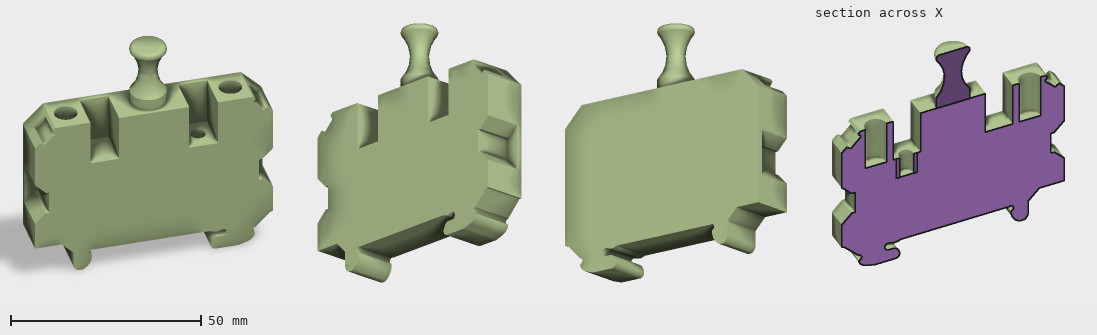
import cadquery as cq
import math

thickness = 12.0
length = 65.0
housing_top = 46.6
half_length = length / 2
half_thickness = thickness / 2
corner_chamfer = 5.5
skirt_z = 9.1
rail_z = 5.9
side_wall = 1.5
pocket_x = -half_thickness + side_wall
pocket_width = thickness - side_wall

screw_hole_diameter = 6.25
screw_hole_y = 22.5
screw_hole_depth = 13.0
pocket_inner_y = 9.55
pocket_outer_y = 17.4
pocket_center_y = (pocket_inner_y + pocket_outer_y) / 2
pocket_depth = 13.0

entry_bottom = 16.9
entry_top = 29.3
entry_flare = 3.0
entry_depth = 3.85

label_width = 7.5
label_length = 4.7
label_depth = 1.4
label_bevel_depth = 0.65
label_bevel_inset = 0.2
label_corner_radius = 0.4
label_shift = 0.5

socket_diameter = 6.05
socket_bore = 4.0
socket_length = 6.5
socket_x = 0.5

knob_top = 64.3
knob_radius = 4.95
knob_base_height = 3.4
waist_radius = 2.55
waist_z = 56.3
neck_radius = 4.6
neck_z = 62.2
cap_radius = 3.65
rim_mid_z = 63.25


def make_body_block():
    """Side outline with its two rail feet, extruded through the thickness."""
    chamfer_y = half_length - corner_chamfer
    chamfer_z = housing_top - corner_chamfer
    outline = (
        cq.Workplane("YZ", origin=(-half_thickness, 0, 0))
        .moveTo(-half_length, skirt_z)
        .lineTo(-half_length, chamfer_z)
        .lineTo(-chamfer_y, housing_top)
        .lineTo(chamfer_y, housing_top)
        .lineTo(half_length, chamfer_z)
        .lineTo(half_length, skirt_z)
        .lineTo(31.85, skirt_z)
        .lineTo(27.55, 4.8)
        .threePointArc((26.7, 4.0), (27.55, 3.1))
        .threePointArc((26.9, 1.6), (25.55, 0.8))
        .lineTo(23.1, 0)
        .lineTo(16.7, 0)
        .threePointArc((15.55, 1.05), (15.7, 2.2))
        .threePointArc((16.2, 3.1), (17.0, 3.8))
        .lineTo(18.85, 3.8)
        .threePointArc((19.8, 4.8), (19.0, rail_z))
        .threePointArc((18.0, 5.7), (17.0, 5.45))
        .threePointArc((16.1, 5.6), (15.3, rail_z))
        .lineTo(-16.4, rail_z)
        .threePointArc((-17.6, 5.25), (-16.9, 4.35))
        .threePointArc((-17.4, 1.95), (-19.25, 0.1))
        .threePointArc((-20.1, 0), (-20.9, 0.1))
        .threePointArc((-21.65, 0.8), (-22.05, 1.95))
        .lineTo(-22.05, rail_z)
        .lineTo(-25.2, skirt_z)
        .close()
    )
    return outline.extrude(thickness)


def make_pocket(side):
    return cq.Workplane("XY").box(
        pocket_width, pocket_outer_y - pocket_inner_y, pocket_depth, centered=(False, True, False)
    ).translate((pocket_x, side * pocket_center_y, housing_top - pocket_depth))


def make_screw_hole(side):
    return (
        cq.Workplane("XY", origin=(0, side * screw_hole_y, housing_top - screw_hole_depth))
        .circle(screw_hole_diameter / 2)
        .extrude(screw_hole_depth)
    )


def make_wire_entry(side):
    """Pocket whose floor and ceiling flare out to the end face."""
    mouth_y = side * half_length
    flare_y = side * (half_length - entry_flare)
    back_y = side * (half_length - entry_depth)
    return (
        cq.Workplane("YZ", origin=(pocket_x, 0, 0))
        .polyline([
            (mouth_y, entry_bottom),
            (flare_y, entry_bottom + entry_flare),
            (back_y, entry_bottom + entry_flare),
            (back_y, entry_top - entry_flare),
            (flare_y, entry_top - entry_flare),
            (mouth_y, entry_top),
        ])
        .close()
        .extrude(pocket_width)
    )


def make_label_recess(side):
    """Recess in the sloping corner face, with bevelled mouth and rounded floor corners."""
    axis_shift = label_shift * math.sin(math.radians(45))
    center_y = side * (half_length - corner_chamfer / 2 - axis_shift)
    center_z = housing_top - corner_chamfer / 2 + axis_shift
    half_mouth = label_length / 2
    half_floor = half_mouth - label_bevel_inset
    profile = [
        (-half_mouth, 0),
        (-half_floor, -label_bevel_depth),
        (-half_floor, -label_depth),
        (half_floor, -label_depth),
        (half_floor, -label_bevel_depth),
        (half_mouth, 0),
    ]
    recess = cq.Workplane("YZ").polyline(profile).close().extrude(label_width)
    recess = recess.edges("|X and <Z").fillet(label_corner_radius)
    recess = recess.rotate((0, 0, 0), (1, 0, 0), -side * 45)
    return recess.translate((half_thickness - label_width, center_y, center_z))


def make_socket_blank():
    """Solid cylinder filling the socket's seat below the pocket floor."""
    floor_z = housing_top - pocket_depth
    return (
        cq.Workplane("XY", origin=(socket_x, pocket_center_y, floor_z - socket_length))
        .circle(socket_diameter / 2)
        .extrude(socket_length)
    )


def make_housing():
    body = make_body_block()
    for side in (-1, 1):
        body = body.cut(make_pocket(side))
        body = body.cut(make_screw_hole(side))
        body = body.cut(make_wire_entry(side))
        body = body.cut(make_label_recess(side))
    return body.cut(make_socket_blank())


def make_socket():
    """Sleeve with its upper end flush with the pocket floor."""
    return make_socket_blank().faces(">Z").workplane().hole(socket_bore)


def make_knob():
    """Turned knob: straight base, concave waist and rounded rim."""
    base_top = housing_top + knob_base_height

    def waist_arc_point(end_radius, end_z):
        rise = abs(end_z - waist_z)
        flare = end_radius - waist_radius
        arc_radius = (rise**2 + flare**2) / (2 * flare)
        half_angle = math.asin(rise / arc_radius) / 2
        radius = waist_radius + arc_radius * (1 - math.cos(half_angle))
        height = waist_z + math.copysign(arc_radius * math.sin(half_angle), end_z - waist_z)
        return radius, height

    return (
        cq.Workplane("XZ")
        .moveTo(0, housing_top)
        .lineTo(knob_radius, housing_top)
        .lineTo(knob_radius, base_top)
        .threePointArc(waist_arc_point(knob_radius, base_top), (waist_radius, waist_z))
        .threePointArc(waist_arc_point(neck_radius, neck_z), (neck_radius, neck_z))
        .threePointArc((knob_radius, rim_mid_z), (cap_radius, knob_top))
        .lineTo(0, knob_top)
        .close()
        .revolve(360, (0, 0, 0), (0, 1, 0))
    )


housing = make_housing()
socket = make_socket()
knob = make_knob()

result = cq.Compound.makeCompound([housing.val(), socket.val(), knob.val()])